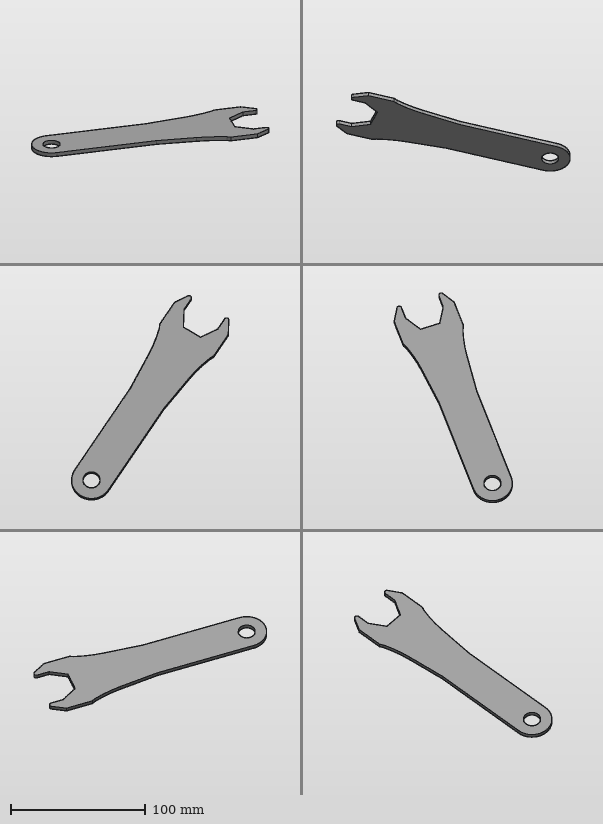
import cadquery as cq
import math

LENGTH = 178.3
HEAD_WIDTH = 47.6
THICKNESS = 3.2

HANDLE_WIDTH = 29.8
HOLE_DIAMETER = 12.7

JAW_OPENING = 29.6
JAW_FLOOR_WIDTH = 15.0
JAW_DEPTH = 23.7
JAW_SIDE_DEPTH = 11.5
TIP_RADIUS = 1.8
TIP_SLOPE = math.radians(60)

HEAD_END_DEPTH = 31.2
SHOULDER_DEPTH = 33.9
SHOULDER_HALF_WIDTH = 22.5
FLARE_END_DEPTH = 56.2
FLARE_END_HALF_WIDTH = 17.8
TAPER_END_DEPTH = 86.5

end_radius = HANDLE_WIDTH / 2
head_half = HEAD_WIDTH / 2
jaw_half = JAW_OPENING / 2
tip_y = LENGTH - end_radius

tip_center_x = jaw_half + TIP_RADIUS
tip_center_y = tip_y - TIP_RADIUS
tip_tangent_x = tip_center_x + TIP_RADIUS * math.sin(TIP_SLOPE)
tip_tangent_y = tip_center_y + TIP_RADIUS * math.cos(TIP_SLOPE)
outer_corner_y = tip_tangent_y - (head_half - tip_tangent_x) * math.tan(TIP_SLOPE)

taper_end = (end_radius, tip_y - TAPER_END_DEPTH)
flare_end = (FLARE_END_HALF_WIDTH, tip_y - FLARE_END_DEPTH)
shoulder = (SHOULDER_HALF_WIDTH, tip_y - SHOULDER_DEPTH)


def half_blank():
    """Right half of the wrench, bounded by the centre line."""
    end_arc_middle = (end_radius * math.sqrt(0.5), -end_radius * math.sqrt(0.5))
    return (
        cq.Workplane("XY")
        .moveTo(0, -end_radius)
        .threePointArc(end_arc_middle, (end_radius, 0))
        .lineTo(*taper_end)
        .lineTo(*flare_end)
        .tangentArcPoint(shoulder, relative=False)
        .lineTo(head_half, tip_y - HEAD_END_DEPTH)
        .lineTo(head_half, outer_corner_y)
        .lineTo(tip_tangent_x, tip_tangent_y)
        .threePointArc((tip_center_x, tip_y), (jaw_half, tip_center_y))
        .lineTo(jaw_half, tip_y - JAW_SIDE_DEPTH)
        .lineTo(JAW_FLOOR_WIDTH / 2, tip_y - JAW_DEPTH)
        .lineTo(0, tip_y - JAW_DEPTH)
        .close()
        .extrude(THICKNESS)
    )


right_half = half_blank()
blank = right_half.union(right_half.mirror("YZ")).clean()
hole = cq.Workplane("XY").circle(HOLE_DIAMETER / 2).extrude(THICKNESS)

result = blank.cut(hole)